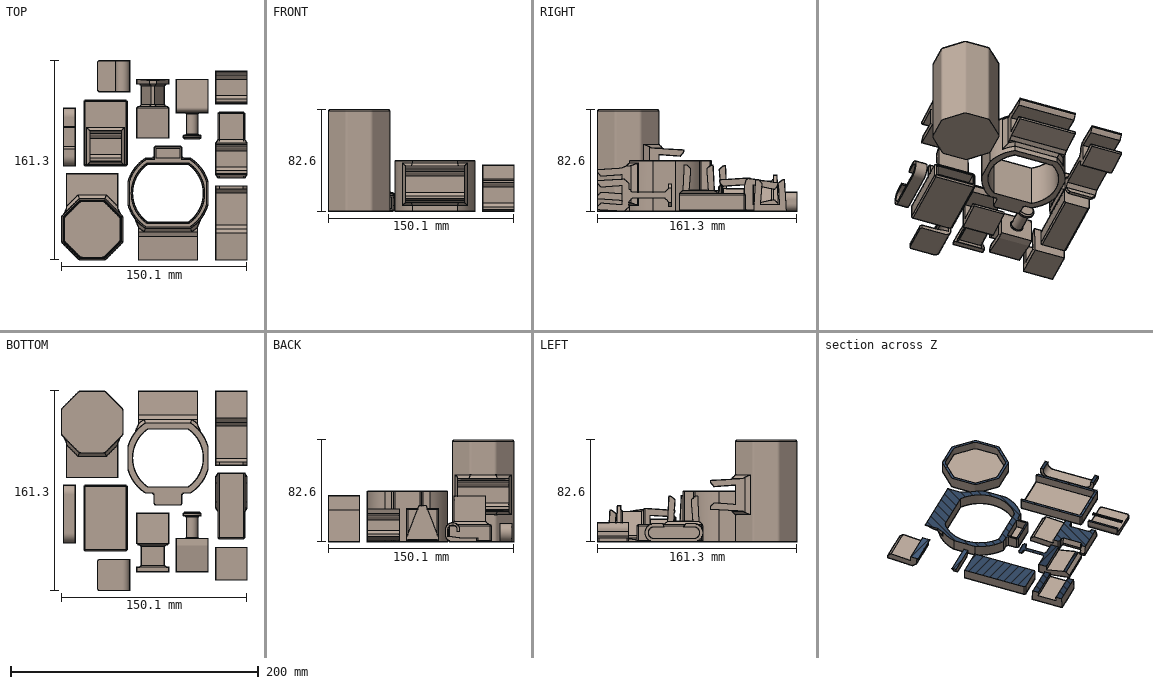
import cadquery as cq
import math

WALL = 2.4
EDGE = 1.2
FLARE = 1.4
PAD_RISE = 2.8
LOW_PAD_RISE = 2.4
LOW_PAD_BACK = 0.4
SLOT = 20.0
CLIP_WIDTH = 25.4
CLIP_HALF = 13.2
TIP_HALF = 11.7
ROOT_GAP = 7.75
LIP_GAP = 6.5
LIP_FROM_TIP = (3.0, 4.3)
TIP_FACE = 1.4
TIP_ROUND = (0.6, 1.2)
LEAD_IN = 2.9
LEAD_IN_STEP = (1.7, 1.2)
RIGHT_COLUMN_X = 137.36


def plane(origin, x_dir, normal):
    return cq.Workplane(cq.Plane(origin=origin, xDir=x_dir, normal=normal))


def clip(origin, opening, across, width, back, half=CLIP_HALF, tip_half=TIP_HALF, bevelled=True):
    """Two sprung arms on a back block.

    `origin` is the middle of the slot floor, `opening` points out of the slot and `across`
    points at the plain arm; the opposite arm carries a raised lip near its tip. `half` and
    `tip_half` are the half heights at the back and at the arm tips; `bevelled` adds a small bevel
    to the tip of the plain arm.
    """
    squeeze = TIP_HALF - tip_half
    lip = LIP_GAP - squeeze
    plain_tip = [(SLOT, tip_half - TIP_FACE)]
    if bevelled:
        plain_tip.append((SLOT - TIP_ROUND[0], tip_half - TIP_FACE - TIP_ROUND[1]))
    points = [
        (-back, half),
        (SLOT, tip_half),
        *plain_tip,
        (SLOT - LEAD_IN, lip),
        (0, ROOT_GAP),
        (0, -ROOT_GAP),
        (SLOT - LIP_FROM_TIP[1], -lip),
        (SLOT - LIP_FROM_TIP[0], -lip),
        (SLOT - LEAD_IN_STEP[0], -lip - LEAD_IN_STEP[1]),
        (SLOT, -lip - LEAD_IN),
        (SLOT, -tip_half),
        (-back, -half),
    ]
    u = cq.Vector(*opening)
    v = cq.Vector(*across)
    profile = plane(origin, opening, u.cross(v).toTuple()).polyline(points).close()
    return profile.extrude(width / 2, both=True)


def pad(centre, bottom_x, bottom_y, top_x, top_y, z):
    """Pad that tapers from a lower rectangle at height z to the clip above it."""
    lower = cq.Workplane(origin=(*centre, z)).rect(bottom_x, bottom_y)
    return lower.workplane(offset=LOW_PAD_RISE).rect(top_x, top_y).loft(ruled=True)


CUP_APOTHEM = 24.95
CUP_CENTRE = (CUP_APOTHEM, CUP_APOTHEM)
CUP_INNER_EDGE = 0.6
CUP_HEIGHT = 82.55
CUP_CORNER = 3.175
CUP_CLIP_WIDTH = 41.5
CUP_CLIP_Z = 38.1
CUP_CLIP_BACK = 7.9
CUP_PAD_HALF = 16.3
CUP_PAD_KNEE = 17.1
PAD_OVERLAP = 0.2
SIDE_SLOPE = (2.4, 5.4)


def octagon(apothem, z, height):
    sides = 8
    diameter = 2 * apothem / math.cos(math.pi / sides)
    prism = cq.Workplane(origin=(*CUP_CENTRE, z)).polygon(sides, diameter).extrude(height)
    return prism.rotate((*CUP_CENTRE, 0), (*CUP_CENTRE, 1), 180 / sides)


def pad_plan(half_width, knee, sign):
    """Plan outline that trims a pad to its clip width, widening again towards the body."""
    run_x, run_y = SIDE_SLOPE
    beyond = knee + SLOT
    left = [(-half_width, sign * beyond), (-half_width, sign * knee)]
    left += [(-half_width - run_x, sign * (knee - run_y)), (-half_width - run_x, 0)]
    return left + [(-x, y) for x, y in reversed(left)]


def make_cup():
    outer = octagon(CUP_APOTHEM, 0, CUP_HEIGHT).edges("|Z").fillet(CUP_CORNER)
    outer = outer.faces(">Z").edges().chamfer(EDGE)
    cavity = octagon(CUP_APOTHEM - WALL, WALL, CUP_HEIGHT).edges("|Z").fillet(CUP_CORNER)
    rim_apothem = CUP_APOTHEM - WALL + CUP_INNER_EDGE
    countersink = octagon(rim_apothem, CUP_HEIGHT - CUP_INNER_EDGE, 2 * CUP_INNER_EDGE)
    countersink = countersink.edges("|Z").fillet(CUP_CORNER)
    countersink = countersink.faces("<Z").edges().chamfer(CUP_INNER_EDGE)

    mount = octagon(CUP_APOTHEM + PAD_RISE, CUP_CLIP_Z - CUP_PAD_HALF, 2 * CUP_PAD_HALF)
    mount = mount.faces("|Z").edges().chamfer(PAD_RISE + PAD_OVERLAP)
    plan = pad_plan(CUP_CLIP_WIDTH / 2, CUP_PAD_KNEE, 1)
    trim = cq.Workplane(origin=(*CUP_CENTRE, 0)).polyline(plan).close().extrude(CUP_HEIGHT)
    floor_y = CUP_CENTRE[1] + CUP_APOTHEM
    slot = cq.Workplane().box(CUP_CLIP_WIDTH, SLOT, 2 * ROOT_GAP)
    slot = slot.translate((CUP_CENTRE[0], floor_y + SLOT / 2, CUP_CLIP_Z))
    mount = mount.intersect(trim).cut(slot)

    arms = clip((CUP_CENTRE[0], floor_y, CUP_CLIP_Z), (0, 1, 0), (0, 0, 1), CUP_CLIP_WIDTH, CUP_CLIP_BACK)
    return outer.union(mount).union(arms).cut(cavity).cut(countersink)


RING_CENTRE = (86.15, 54.1)
RING_HEIGHT = 41.275
RING_RADIUS = 33.7
RING_HALF_X = 32.45
RING_HALF_Y = 28.3
RING_BORE_RADIUS = 28.5
RING_BORE_HALF_Y = 23.4
RING_CLIP_WIDTH = 47.9
RING_CLIP_Z = 22.0
RING_CLIP_BACK = 9.0
RING_CLIP_HALF = 13.7
COLLAR_TOE = 0.8
COLLAR_TOE_HALF = 13.0
COLLAR_HALF = 14.6
RING_PAD_HALF = 17.0
RING_PAD_DROP = 2.3
RING_PAD_KNEE = 27.0
RING_CLIP_FLOOR_Y = 20.0
SOCKET_WIDTH = 22.7
SOCKET_END_Y = 92.2
SOCKET_WALL = 1.8


def flattened_disc(radius, half_x, half_y, z, height, ends="", bevel=0.0, drop=0.0):
    """Disc with flats on its sides, starting at height z.

    The faces picked by `ends` get a chamfer `bevel` wide and `drop` high.
    """
    disc = cq.Workplane().circle(radius).extrude(height)
    sides = cq.Workplane().rect(2 * half_x, 2 * half_y).extrude(height)
    if ends:
        disc = disc.faces(ends).edges().chamfer(drop, bevel)
        sides = sides.faces(ends).edges().chamfer(drop, bevel)
    return disc.intersect(sides).translate((*RING_CENTRE, z))


def ring_outline(grow, *shape):
    return flattened_disc(RING_RADIUS + grow, RING_HALF_X + grow, RING_HALF_Y + grow, *shape)


def ring_bore(grow, *shape):
    """The bore has flats across Y only, so its X limit lies outside the circle."""
    radius = RING_BORE_RADIUS + grow
    return flattened_disc(radius, RING_RADIUS, RING_BORE_HALF_Y + grow, *shape)


def make_ring():
    outer = ring_outline(0, 0, RING_HEIGHT, ">Z", EDGE, EDGE / 2)
    bore = ring_bore(0, 0, RING_HEIGHT)
    countersink = ring_bore(EDGE, RING_HEIGHT - EDGE, 2 * EDGE, "<Z", EDGE, EDGE)

    mount = ring_outline(PAD_RISE, RING_CLIP_Z - RING_PAD_HALF, 2 * RING_PAD_HALF,
                         "|Z", PAD_RISE, RING_PAD_DROP)
    plan = pad_plan(RING_CLIP_WIDTH / 2, RING_PAD_KNEE, -1)
    trim = cq.Workplane(origin=(*RING_CENTRE, 0)).polyline(plan).close().extrude(RING_HEIGHT)
    mount = mount.intersect(trim)

    floor = (RING_CENTRE[0], RING_CLIP_FLOOR_Y, RING_CLIP_Z)
    arms = clip(floor, (0, -1, 0), (0, 0, 1), RING_CLIP_WIDTH, RING_CLIP_BACK, RING_CLIP_HALF)
    pad_face = RING_CLIP_FLOOR_Y - (RING_CENTRE[1] - RING_HALF_Y - PAD_RISE)
    upper = [(-RING_CLIP_BACK, COLLAR_HALF), (pad_face, COLLAR_HALF), (COLLAR_TOE, COLLAR_TOE_HALF)]
    upper.append((0, COLLAR_TOE_HALF))
    lower = [(u, -v) for u, v in reversed(upper)]
    collar = plane(floor, (0, -1, 0), (-1, 0, 0)).polyline(upper + lower).close()
    collar = collar.extrude(RING_CLIP_WIDTH / 2, both=True)

    wall_y = RING_CENTRE[1] + RING_HALF_Y
    start_y = RING_CENTRE[1] + RING_BORE_HALF_Y + EDGE
    length = SOCKET_END_Y - start_y
    socket = cq.Workplane().box(SOCKET_WIDTH, length, RING_HEIGHT, centered=(True, False, False))
    socket = socket.edges("|Z and >Y").chamfer(EDGE).faces(">Z").edges().chamfer(EDGE / 2)
    socket = socket.translate((RING_CENTRE[0], start_y, 0))
    flare = cq.Workplane(origin=(RING_CENTRE[0], wall_y, 0)).polyline([
        (-SOCKET_WIDTH / 2 - FLARE, 0),
        (-SOCKET_WIDTH / 2, FLARE),
        (SOCKET_WIDTH / 2, FLARE),
        (SOCKET_WIDTH / 2 + FLARE, 0),
    ]).close().extrude(RING_HEIGHT - EDGE / 2)
    pocket = cq.Workplane(origin=(RING_CENTRE[0], wall_y, WALL)).box(
        SOCKET_WIDTH - 2 * SOCKET_WALL, SOCKET_END_Y - SOCKET_WALL - wall_y, RING_HEIGHT,
        centered=(True, False, False))

    body = outer.union(socket).union(flare).union(mount).union(collar).union(arms)
    return body.cut(bore).cut(countersink).cut(pocket)


LOOP_X = (1.7, 11.4)
LOOP_Y = (76.0, 122.8)
LOOP_HEIGHT = 15.0
LOOP_WALL = 2.7
LOOP_GAP_TOP = (89.8, 108.2)
LOOP_GAP_BOTTOM = (91.8, 107.4)


def make_loop():
    centre = (LOOP_X[0], sum(LOOP_Y) / 2, LOOP_HEIGHT / 2)
    length = LOOP_Y[1] - LOOP_Y[0]
    width = LOOP_X[1] - LOOP_X[0]
    side = plane(centre, (0, 1, 0), (1, 0, 0))
    body = side.slot2D(length, LOOP_HEIGHT).extrude(width)
    body = body.cut(side.slot2D(length - 2 * LOOP_WALL, LOOP_HEIGHT - 2 * LOOP_WALL).extrude(width))
    gap = plane((LOOP_X[0], 0, 0), (0, 1, 0), (1, 0, 0)).polyline([
        (LOOP_GAP_TOP[0], LOOP_HEIGHT),
        (LOOP_GAP_TOP[1], LOOP_HEIGHT),
        (LOOP_GAP_BOTTOM[1], LOOP_HEIGHT - LOOP_WALL),
        (LOOP_GAP_BOTTOM[0], LOOP_HEIGHT - LOOP_WALL),
    ]).close().extrude(width)
    return body.cut(gap)


SLEEVE_CENTRE_X = 35.75
SLEEVE_WIDTH = 35.2
SLEEVE_Y = (76.0, 129.4)
SLEEVE_HEIGHT = 14.2
PAD_LENGTH = 31.0
SLEEVE_PAD_WIDTH = 30.6
SLEEVE_PAD_INSET = 0.4


def make_sleeve():
    length = SLEEVE_Y[1] - SLEEVE_Y[0]
    at = (SLEEVE_CENTRE_X, SLEEVE_Y[0], 0)
    outer = cq.Workplane().box(SLEEVE_WIDTH, length, SLEEVE_HEIGHT, centered=(True, False, False))
    outer = outer.edges().chamfer(EDGE).translate(at)
    cavity = cq.Workplane(origin=(at[0], at[1], WALL)).box(
        SLEEVE_WIDTH - 2 * WALL, length - WALL, SLEEVE_HEIGHT - 2 * WALL,
        centered=(True, False, False))
    pad_y = SLEEVE_Y[0] + SLEEVE_PAD_INSET + PAD_LENGTH / 2
    base = pad((at[0], pad_y), SLEEVE_PAD_WIDTH, PAD_LENGTH, CLIP_WIDTH, CLIP_WIDTH, SLEEVE_HEIGHT)
    floor = (at[0], pad_y, SLEEVE_HEIGHT + LOW_PAD_RISE + LOW_PAD_BACK)
    arms = clip(floor, (0, 0, 1), (0, 1, 0), CLIP_WIDTH, LOW_PAD_BACK, CLIP_WIDTH / 2)
    return outer.union(base).union(arms).cut(cavity)


TONGUE_WIDTH = 21.8
TONGUE_Y = (66.4, 119.7)
TONGUE_HEIGHT = 14.7


def make_tongue():
    length = TONGUE_Y[1] - TONGUE_Y[0]
    at = (RIGHT_COLUMN_X, TONGUE_Y[0], 0)
    body = cq.Workplane().box(TONGUE_WIDTH, length, TONGUE_HEIGHT, centered=(True, False, False))
    body = body.faces(">Y or >Z or >X or <X").edges("not <Y").chamfer(EDGE).translate(at)
    pad_y = TONGUE_Y[0] + PAD_LENGTH / 2
    base = pad((at[0], pad_y), TONGUE_WIDTH, PAD_LENGTH, CLIP_WIDTH, CLIP_WIDTH, TONGUE_HEIGHT)
    floor = (at[0], pad_y, TONGUE_HEIGHT + LOW_PAD_RISE + LOW_PAD_BACK)
    arms = clip(floor, (0, 0, 1), (0, 1, 0), CLIP_WIDTH, LOW_PAD_BACK, CLIP_WIDTH / 2)
    return body.union(base).union(arms)


PLAIN_CLIP_Y = 139.5
PLAIN_CLIP_BACK = 5.8


def make_plain_clip():
    floor = (RIGHT_COLUMN_X, PLAIN_CLIP_Y, PLAIN_CLIP_BACK)
    return clip(floor, (0, 0, 1), (0, 1, 0), CLIP_WIDTH, PLAIN_CLIP_BACK, bevelled=False)


BAR_THICKNESS = 4.76
BAR_CLIP_BACK_Y = 25.4
BAR_END_Y = 60.0
END_PLATE_THICKNESS = 2.5
END_PLATE_HALF = 9.0
END_PLATE_CORNER = 3.1
BAR_FLARE = 3.0
BACK_CHAMFER = 3.6


def make_bar_clip():
    floor = (RIGHT_COLUMN_X, SLOT, CLIP_HALF)
    body = clip(floor, (0, -1, 0), (0, 0, 1), CLIP_WIDTH, BAR_CLIP_BACK_Y - SLOT)
    body = body.faces(">Y").edges("|X").chamfer(BACK_CHAMFER)
    plate_y = BAR_END_Y - END_PLATE_THICKNESS
    half = BAR_THICKNESS / 2
    upper = [
        (BAR_CLIP_BACK_Y, half + BAR_FLARE),
        (BAR_CLIP_BACK_Y + BAR_FLARE, half),
        (plate_y - BAR_FLARE, half),
        (plate_y, half + BAR_FLARE),
    ]
    lower = [(y, -z) for y, z in reversed(upper)]
    bar = plane((RIGHT_COLUMN_X, 0, CLIP_HALF), (0, 1, 0), (1, 0, 0))
    bar = bar.polyline(upper + lower).close().extrude(CLIP_WIDTH / 2, both=True)
    plate = cq.Workplane().box(CLIP_WIDTH, END_PLATE_THICKNESS, 2 * END_PLATE_HALF)
    plate = plate.edges("|Y").chamfer(END_PLATE_CORNER)
    plate = plate.translate((RIGHT_COLUMN_X, plate_y + END_PLATE_THICKNESS / 2, CLIP_HALF))
    return body.union(bar).union(plate)


WIDE_CLIP_WIDTH = 26.0
WIDE_CLIP_HALF = 13.65
STEM_X = 73.95
STEM_CLIP_TIP_Y = 98.7
STEM_CLIP_BACK = 5.5
STEM_CLIP_TIP_HALF = 11.9
STEM_Z = (3.4, 24.8)
STEM_SHOULDER = 1.9
STEM_HALF_WIDTHS = (9.4, 1.4)
HEAD_Z = (1.6, 29.4)
HEAD_HALF_WIDTHS = (13.0, 2.9)
HEAD_Y = (142.2, 146.1)
HEAD_LEAN = 0.9


def triangle(y, z_range, half_widths):
    """Triangle with blunt corners and its tip upwards, in the XZ plane at y and facing +Y."""
    low, high = half_widths
    outline = plane((STEM_X, y, 0), (-1, 0, 0), (0, 1, 0))
    return outline.polyline([
        (-low, z_range[0]),
        (low, z_range[0]),
        (low, z_range[0] + STEM_SHOULDER),
        (high, z_range[1]),
        (-high, z_range[1]),
        (-low, z_range[0] + STEM_SHOULDER),
    ]).close()


def stem_flare(wide_y, narrow_y):
    """Sloped collar around the stem, widest where it meets a larger face."""
    grown_z = (STEM_Z[0] - FLARE, STEM_Z[1] + FLARE)
    grown_widths = [width + FLARE for width in STEM_HALF_WIDTHS]
    wide = triangle(wide_y, grown_z, grown_widths).wire().vals()[-1]
    narrow = triangle(narrow_y, STEM_Z, STEM_HALF_WIDTHS).wire().vals()[-1]
    return cq.Workplane(cq.Solid.makeLoft([wide, narrow], True))


def make_stem_clip():
    floor_y = STEM_CLIP_TIP_Y + SLOT
    back_y = floor_y + STEM_CLIP_BACK
    body = clip((STEM_X, floor_y, WIDE_CLIP_HALF), (0, -1, 0), (0, 0, 1), WIDE_CLIP_WIDTH,
                STEM_CLIP_BACK, WIDE_CLIP_HALF, STEM_CLIP_TIP_HALF)
    body = body.faces(">Y").edges().chamfer(EDGE)
    stem = triangle(back_y, STEM_Z, STEM_HALF_WIDTHS).extrude(HEAD_Y[0] - back_y)
    head = triangle(HEAD_Y[0], HEAD_Z, HEAD_HALF_WIDTHS).extrude(HEAD_Y[1] - HEAD_Y[0])
    wedge = plane((STEM_X, 0, 0), (0, 1, 0), (1, 0, 0)).polyline([
        (HEAD_Y[0], HEAD_Z[0]),
        (HEAD_Y[1], HEAD_Z[0]),
        (HEAD_Y[1] - HEAD_LEAN, HEAD_Z[1]),
        (HEAD_Y[0], HEAD_Z[1]),
    ]).close().extrude(WIDE_CLIP_WIDTH, both=True)
    head = head.intersect(wedge)
    body = body.union(stem).union(head)
    return body.union(stem_flare(back_y, back_y + FLARE)).union(stem_flare(HEAD_Y[0], HEAD_Y[0] - FLARE))


PIN_X = 105.7
PIN_CLIP_TIP_Y = 146.0
PIN_CLIP_BACK = 7.0
PIN_CLIP_TIP_HALF = 9.4
PIN_CLIP_BACK_SLOPE = (1.5, 6.0)
PIN_CLIP_ROUND = 3.0
PIN_DIAMETER = 9.53
PIN_HEAD_DIAMETER = 14.61
PIN_HEAD_Y = (97.9, 101.1)


def make_pin_clip():
    floor_y = PIN_CLIP_TIP_Y - SLOT
    back_y = floor_y - PIN_CLIP_BACK
    body = clip((PIN_X, floor_y, WIDE_CLIP_HALF), (0, 1, 0), (0, 0, 1), WIDE_CLIP_WIDTH,
                PIN_CLIP_BACK, WIDE_CLIP_HALF, PIN_CLIP_TIP_HALF)
    body = body.faces("<Y").edges("|X").chamfer(*PIN_CLIP_BACK_SLOPE)
    corner_y = back_y + PIN_CLIP_BACK_SLOPE[0]
    corners = cq.selectors.BoxSelector(
        (PIN_X - 1, corner_y - 1, -1), (PIN_X + 1, corner_y + 1, 2 * WIDE_CLIP_HALF + 1))
    body = body.edges("|X").edges(corners).fillet(PIN_CLIP_ROUND)
    radius = PIN_DIAMETER / 2
    head_radius = PIN_HEAD_DIAMETER / 2
    pin = plane((PIN_X, 0, WIDE_CLIP_HALF), (1, 0, 0), (0, 0, 1)).polyline([
        (0, back_y),
        (radius + FLARE / 2, back_y),
        (radius, back_y - FLARE / 2),
        (radius, PIN_HEAD_Y[1] + FLARE / 2),
        (radius + FLARE / 2, PIN_HEAD_Y[1]),
        (head_radius - EDGE / 2, PIN_HEAD_Y[1]),
        (head_radius, PIN_HEAD_Y[1] - EDGE / 2),
        (head_radius, PIN_HEAD_Y[0] + EDGE),
        (head_radius - EDGE, PIN_HEAD_Y[0]),
        (0, PIN_HEAD_Y[0]),
    ]).close().revolve(360, (0, 0, 0), (0, 1, 0))
    return body.union(pin)


HOOK_Y = (136.0, 161.31)
HOOK_X = (29.2, 55.4)
HOOK_TOP = 15.6
HOOK_RADIUS = 5.75
HOOK_WALL = 2.0
HOOK_PLATE = 3.4
HOOK_RAMP_TOP = 4.7
HOOK_END_Z = 8.4


def make_hook():
    left, right = HOOK_X
    mid = right - HOOK_RADIUS
    inner = HOOK_RADIUS - HOOK_WALL
    top_centre = HOOK_TOP - HOOK_RADIUS
    bend = math.sqrt(0.5)
    profile = plane((0, HOOK_Y[1], 0), (1, 0, 0), (0, -1, 0)).moveTo(left, 0)
    profile = profile.lineTo(mid, 0)
    profile = profile.threePointArc(
        (mid + HOOK_RADIUS * bend, HOOK_RADIUS * (1 - bend)), (right, HOOK_RADIUS))
    profile = profile.lineTo(right, top_centre)
    profile = profile.threePointArc((mid, HOOK_TOP), (mid - HOOK_RADIUS, top_centre))
    profile = profile.lineTo(mid - HOOK_RADIUS, HOOK_END_Z)
    profile = profile.lineTo(mid - inner, HOOK_END_Z)
    profile = profile.lineTo(mid - inner, top_centre)
    profile = profile.threePointArc((mid, top_centre + inner), (mid + inner, top_centre))
    profile = profile.lineTo(mid + inner, HOOK_RAMP_TOP)
    profile = profile.lineTo(mid - HOOK_RADIUS, HOOK_PLATE)
    profile = profile.lineTo(left, HOOK_PLATE).close()
    return profile.extrude(HOOK_Y[1] - HOOK_Y[0]).edges("|Z and <X").chamfer(EDGE)


cup = make_cup()
ring = make_ring()
loop = make_loop()
sleeve = make_sleeve()
tongue = make_tongue()
plain_clip = make_plain_clip()
bar_clip = make_bar_clip()
stem_clip = make_stem_clip()
pin_clip = make_pin_clip()
hook = make_hook()

bodies = [cup, ring, loop, sleeve, tongue, plain_clip, bar_clip, stem_clip, pin_clip, hook]
result = cq.Compound.makeCompound([body.val() for body in bodies])